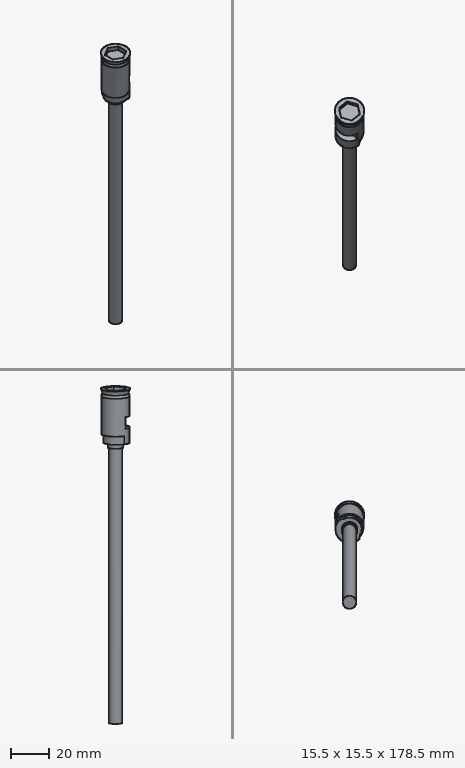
import cadquery as cq
import math

length = 178.5

rim_diameter = 15.5
body_diameter = 14.8
groove_diameter = 14.1
groove_top_flare = 1.8
groove_floor_height = 0.5
groove_bottom_taper = 1.6
lip_diameter = 15.2
head_height = 28.7

collar_diameter = 8.2
collar_height = 2.7
shaft_diameter = 7.1

socket_across_flats = 10.0
socket_depth = 2.5

slot_top_depth = 14.3
slot_height = 6.2
slot_floor_y = 0.9

relief_height = 4.5
relief_radius = 6.5
relief_edge_y = -1.8


def make_turned_body():
    """Revolve the head, collar and shaft about Z."""
    rim_radius = rim_diameter / 2
    body_radius = body_diameter / 2
    groove_radius = groove_diameter / 2
    collar_radius = collar_diameter / 2
    shaft_radius = shaft_diameter / 2
    head_bottom = length - head_height
    collar_bottom = head_bottom - collar_height
    lip_radius = lip_diameter / 2
    floor_top = length - groove_top_flare
    floor_bottom = floor_top - groove_floor_height
    lip_height = floor_bottom - groove_bottom_taper
    flare_depth = rim_radius - groove_radius
    flare_radius = (groove_top_flare**2 + flare_depth**2) / (2 * flare_depth)
    return (
        cq.Workplane("XZ")
        .lineTo(shaft_radius, 0)
        .lineTo(shaft_radius, collar_bottom)
        .lineTo(collar_radius, collar_bottom)
        .lineTo(collar_radius, head_bottom)
        .lineTo(body_radius, head_bottom)
        .lineTo(body_radius, lip_height)
        .lineTo(lip_radius, lip_height)
        .lineTo(groove_radius, floor_bottom)
        .lineTo(groove_radius, floor_top)
        .radiusArc((rim_radius, length), flare_radius)
        .lineTo(0, length)
        .close()
        .revolve(360, (0, 0, 0), (0, 1, 0))
    )


def make_socket():
    """Hexagonal pocket sunk into the top of the head."""
    across_corners = socket_across_flats / math.cos(math.pi / 6)
    return (
        cq.Workplane("XY", origin=(0, 0, length - socket_depth))
        .transformed(rotate=(0, 0, 90))
        .polygon(6, across_corners)
        .extrude(socket_depth)
    )


def make_slot():
    """Block that removes the +Y side of the head across its full width."""
    slot_bottom = length - slot_top_depth - slot_height
    return (
        cq.Workplane("XY", origin=(0, slot_floor_y, slot_bottom))
        .box(rim_diameter, rim_diameter, slot_height, centered=(True, False, False))
    )


def make_relief():
    """Arc-shaped step with slanted ends that meet the head's surface at Y = 0."""
    edge_x = math.sqrt(relief_radius**2 - relief_edge_y**2)
    body_radius = body_diameter / 2
    return (
        cq.Workplane("XY", origin=(0, 0, length - head_height))
        .moveTo(-body_radius, 0)
        .lineTo(-edge_x, relief_edge_y)
        .threePointArc((0, -relief_radius), (edge_x, relief_edge_y))
        .lineTo(body_radius, 0)
        .lineTo(body_radius, -body_diameter)
        .lineTo(-body_radius, -body_diameter)
        .close()
        .extrude(relief_height)
    )


result = make_turned_body().cut(make_socket()).cut(make_slot()).cut(make_relief())